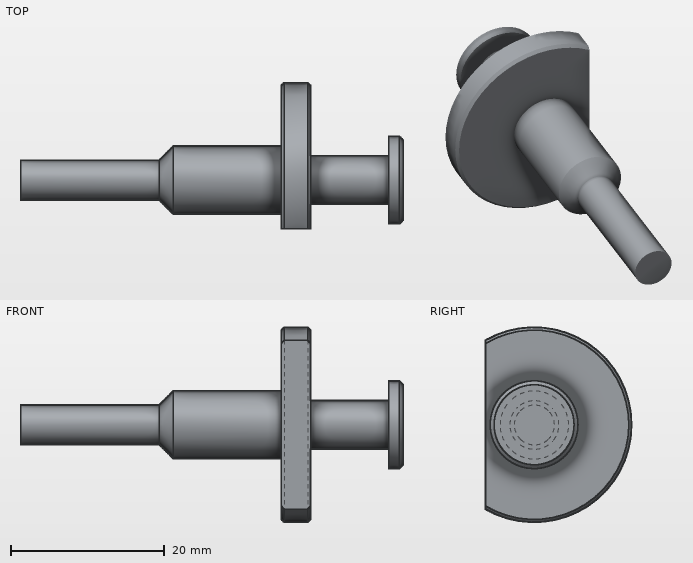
import cadquery as cq

total_length = 49.78

tip_diameter = 5.2
tip_length = 18.03
body_diameter = 8.89
shank_diameter = 6.35

flange_diameter = 25.4
flange_thickness = 3.81
flange_start = 33.9
flange_depth = 19.05
flange_chamfer = 0.38

head_diameter = 11.43
head_thickness = 1.905
head_chamfer = 0.51

cone_length = (body_diameter - tip_diameter) / 2
cone_end = tip_length + cone_length
flange_end = flange_start + flange_thickness
flange_flat_y = flange_diameter / 2 - flange_depth
head_start = total_length - head_thickness


def cylinder(diameter, start, end):
    """Solid cylinder about the X axis between two X positions."""
    return cq.Workplane("YZ").workplane(offset=start).circle(diameter / 2).extrude(end - start)


def make_pin():
    """Tip, 45 degree cone and body, revolved about the X axis."""
    return (
        cq.Workplane("XY")
        .moveTo(0, 0)
        .lineTo(0, tip_diameter / 2)
        .lineTo(tip_length, tip_diameter / 2)
        .lineTo(cone_end, body_diameter / 2)
        .lineTo(flange_start, body_diameter / 2)
        .lineTo(flange_start, 0)
        .close()
        .revolve(360, (0, 0, 0), (1, 0, 0))
    )


def make_flange():
    """Disc with both rims chamfered, then cut flat on the -Y side."""
    disc = cylinder(flange_diameter, flange_start, flange_end)
    disc = disc.faces("<X or >X").edges().chamfer(flange_chamfer)
    kept_side = cq.Workplane("XY").box(
        flange_thickness, flange_depth, flange_diameter, centered=(False, False, True)
    ).translate((flange_start, flange_flat_y, 0))
    return disc.intersect(kept_side)


def make_head():
    """Disc with its outer end rim chamfered."""
    return cylinder(head_diameter, head_start, total_length).faces(">X").edges().chamfer(head_chamfer)


shank = cylinder(shank_diameter, flange_end, head_start)

result = make_pin().union(make_flange()).union(shank).union(make_head())